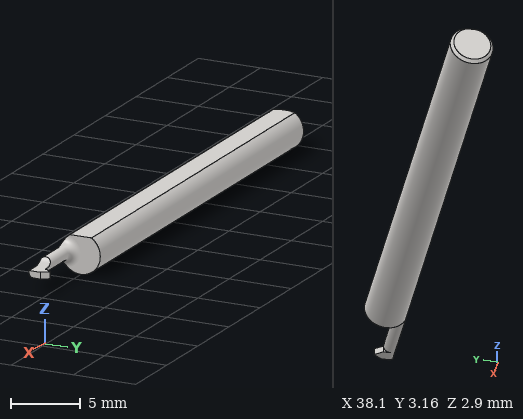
import cadquery as cq

total_length = 38.1
shank_length = 32.9
shank_radius = 1.58
flat_height = 1.315
end_chamfer = 0.23

neck_radius = 0.55
neck_center_y = -1.2
neck_fillet = 0.65
neck_edge_y = neck_center_y + neck_radius

head_flat_start = 37.0
relief_radius = 0.9
relief_start = head_flat_start - relief_radius

tooth_start = 37.22
tooth_tip_x = 37.68
tooth_tip_y = -0.08
tooth_tip_width = 0.08


def round_bar(length):
    return cq.Workplane("YZ").circle(shank_radius).extrude(length)


def make_shank():
    bar = round_bar(shank_length).faces("<X").chamfer(end_chamfer)
    above_flat = cq.Workplane("XY").box(
        shank_length, 2 * shank_radius, shank_radius, centered=(False, True, False)
    )
    return bar.cut(above_flat.translate((0, 0, flat_height)))


def make_neck():
    """Rod with a flared root, revolved about its own axis."""
    flare_radius = neck_radius + neck_fillet
    flare_end = shank_length + neck_fillet
    neck_overlap = 0.4
    rod = (
        cq.Workplane("XY", origin=(0, neck_center_y, 0))
        .moveTo(shank_length - neck_overlap, 0)
        .lineTo(shank_length - neck_overlap, neck_radius)
        .lineTo(shank_length, neck_radius)
        .lineTo(shank_length, flare_radius)
        .radiusArc((flare_end, neck_radius), -neck_fillet)
        .lineTo(total_length, neck_radius)
        .lineTo(total_length, 0)
        .close()
        .revolve(360, (0, 0, 0), (1, 0, 0))
    )
    return rod.intersect(round_bar(total_length))


def make_tooth():
    half_tip = tooth_tip_width / 2
    return (
        cq.Workplane("XY")
        .moveTo(tooth_start, neck_center_y)
        .lineTo(tooth_start, neck_edge_y)
        .lineTo(tooth_tip_x - half_tip, tooth_tip_y)
        .lineTo(tooth_tip_x + half_tip, tooth_tip_y)
        .lineTo(total_length, neck_edge_y)
        .lineTo(total_length, neck_center_y)
        .close()
        .extrude(-neck_radius)
        .intersect(round_bar(total_length))
    )


def make_head_relief():
    """Cutter that clears the upper half of the head, with a rounded run-out."""
    return (
        cq.Workplane("XZ")
        .moveTo(total_length, 0)
        .lineTo(head_flat_start, 0)
        .radiusArc((relief_start, relief_radius), relief_radius)
        .lineTo(relief_start, shank_radius)
        .lineTo(total_length, shank_radius)
        .close()
        .extrude(shank_radius, both=True)
    )


neck = make_neck().cut(make_head_relief())
result = make_shank().union(neck).union(make_tooth())